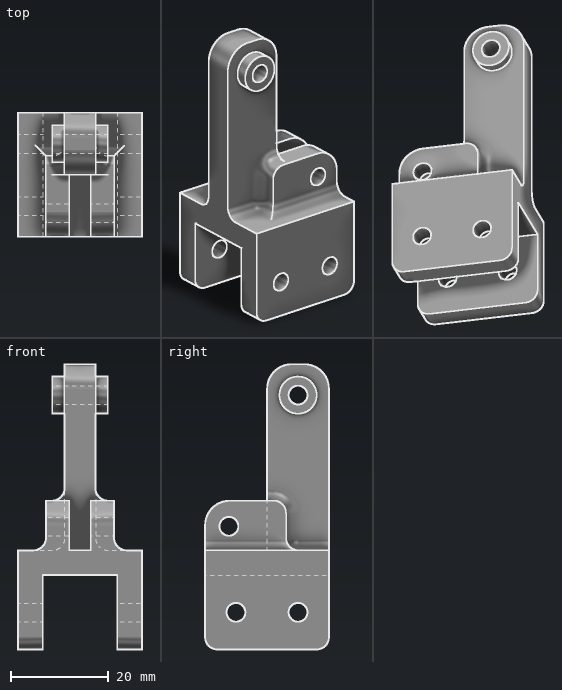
import cadquery as cq

module = 58.45 / 23
width = 10 * module
step_height = 8 * module
lug_top = 12 * module
total_height = 23 * module
half_depth = width / 2
selection_tolerance = 0.03

leg_gap = 6 * module
leg_gap_height = 6 * module
foot_radius = module
hole_diameter = 1.5 * module
leg_hole_height = 3 * module
leg_hole_spacing = 5 * module

lug_width = 5.5 * module
lug_length = 16.6
lug_front_radius = 2 * module
lug_back_radius = module
lug_slot_width = 4.3
lug_hole_inset = 4.9
lug_hole_drop = 5.25

arm_width = 2.5 * module
arm_depth = 5 * module
arm_top_radius = 2 * module
pivot_y = half_depth - arm_depth / 2
pivot_height = total_height - 2.5 * module
boss_diameter = 3 * module
boss_length = module
blend_radius = module


def block(x_size, y_front, y_back, z_bottom, z_top):
    """Box centred on X = 0."""
    return cq.Workplane("XY").box(
        x_size, y_back - y_front, z_top - z_bottom, centered=(True, False, False)
    ).translate((0, y_front, z_bottom))


def pin(diameter, length, y, z):
    """Cylinder along X, centred on X = 0."""
    return cq.Workplane("YZ").center(y, z).circle(diameter / 2).extrude(length / 2, both=True)


def make_base():
    return block(width, -half_depth, half_depth, 0, step_height).edges("|X and <Z").fillet(foot_radius)


def make_lug_block():
    lug_back = lug_length - half_depth
    lugs = block(lug_width, -half_depth, lug_back, leg_gap_height, lug_top)
    lugs = lugs.edges("|X and >Z and <Y").fillet(lug_front_radius)
    return lugs.edges("|X and >Z and >Y").fillet(lug_back_radius)


def make_arm():
    arm = block(arm_width, half_depth - arm_depth, half_depth, leg_gap_height, total_height)
    return arm.edges("|X and >Z").fillet(arm_top_radius)


def edges_on_side(body, half_width, y_front, z_top):
    """Edges in the plane X = +/-half_width from the step up to z_top, behind y_front."""
    tol = selection_tolerance
    found = []
    for side in (-1, 1):
        x = side * half_width
        region = cq.selectors.BoxSelector(
            (x - tol, y_front - tol, step_height - tol),
            (x + tol, half_depth + tol, z_top + tol),
            boundingbox=True,
        )
        found += body.edges(region).vals()
    return found


def blend_concave_edges(body):
    """Round the inside corners where the lugs and the arm rise from the body."""
    lug_back = lug_length - half_depth
    tol = selection_tolerance
    arm_edges = edges_on_side(body, arm_width / 2, half_depth - arm_depth, lug_top)
    lug_sides = edges_on_side(body, lug_width / 2, -half_depth, step_height)
    behind_lugs = body.edges(cq.selectors.BoxSelector(
        (-lug_width / 2 - tol, lug_back - tol, step_height - tol),
        (lug_width / 2 + tol, lug_back + tol, step_height + tol),
        boundingbox=True,
    )).edges("|X").vals()
    return body.newObject(arm_edges + lug_sides + behind_lugs).fillet(blend_radius)


body = make_base().union(make_lug_block()).union(make_arm())
body = blend_concave_edges(body)

body = body.cut(block(leg_gap, -half_depth, half_depth, 0, leg_gap_height))
body = body.cut(block(lug_slot_width, -half_depth, half_depth - arm_depth, step_height, lug_top))

body = body.union(pin(boss_diameter, arm_width + 2 * boss_length, pivot_y, pivot_height))

hole_positions = [
    (-leg_hole_spacing / 2, leg_hole_height),
    (leg_hole_spacing / 2, leg_hole_height),
    (lug_hole_inset - half_depth, lug_top - lug_hole_drop),
    (pivot_y, pivot_height),
]
for hole_y, hole_z in hole_positions:
    body = body.cut(pin(hole_diameter, width, hole_y, hole_z))

result = body